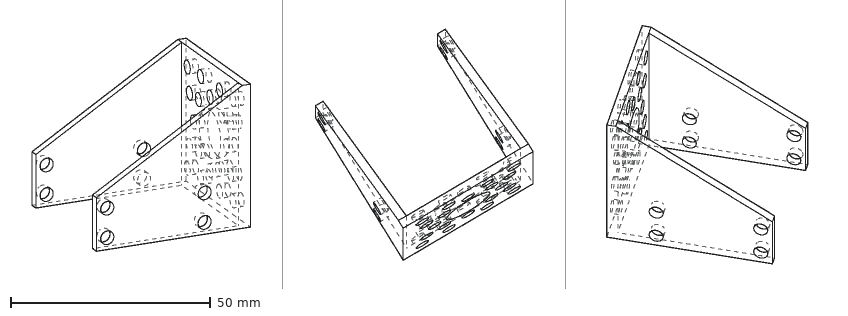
import cadquery as cq

width = 38.1
depth = 42.75
height = 38.1
thickness = 2.3

front_edge_height = 14.3

bolt_diameter = 3.6
bore_diameter = 12.7
bolt_ring_diameter = 19.6
bolt_ring_count = 8
side_hole_x = 12.15
side_hole_z = bolt_ring_diameter / 2 * 0.5 ** 0.5
row_outer_x = 13.45
row_inner_x = 5.6
row_z = 13.45

arm_hole_front = 3.05
arm_hole_spacing_y = 27.0
arm_hole_bottom = 3.15
arm_hole_spacing_z = 7.85

front_y = -depth / 2
back_y = depth / 2
plate_front_y = back_y - thickness
bottom_z = -height / 2
top_z = height / 2


def make_bracket():
    """Sloped side profile across the full width, hollowed between the arms."""
    profile = [
        (front_y, bottom_z),
        (back_y, bottom_z),
        (back_y, top_z),
        (plate_front_y, top_z),
        (front_y, bottom_z + front_edge_height),
    ]
    body = cq.Workplane("YZ").polyline(profile).close().extrude(width / 2, both=True)
    gap = cq.Workplane("XY").box(width - 2 * thickness, depth, height)
    return body.cut(gap.translate((0, -thickness, 0)))


def make_plate_holes():
    """Central bore and bolt pattern, running through the back plate along Y."""
    plane = cq.Workplane("XZ", origin=(0, back_y, 0))
    mirrored_quarter = [
        (side_hole_x, side_hole_z),
        (row_outer_x, row_z),
        (row_inner_x, row_z),
    ]
    points = [(sx * x, sz * z) for x, z in mirrored_quarter for sx in (-1, 1) for sz in (-1, 1)]
    bore = plane.circle(bore_diameter / 2).extrude(thickness)
    ring = (
        plane.polarArray(bolt_ring_diameter / 2, 0, 360, bolt_ring_count)
        .circle(bolt_diameter / 2)
        .extrude(thickness)
    )
    bolts = plane.pushPoints(points).circle(bolt_diameter / 2).extrude(thickness)
    return bore.union(ring).union(bolts)


def make_arm_holes():
    """Four holes running along X through both arms."""
    first_y = front_y + arm_hole_front
    first_z = bottom_z + arm_hole_bottom
    points = [
        (y, z)
        for y in (first_y, first_y + arm_hole_spacing_y)
        for z in (first_z, first_z + arm_hole_spacing_z)
    ]
    return cq.Workplane("YZ").pushPoints(points).circle(bolt_diameter / 2).extrude(width / 2, both=True)


result = make_bracket().cut(make_plate_holes()).cut(make_arm_holes())